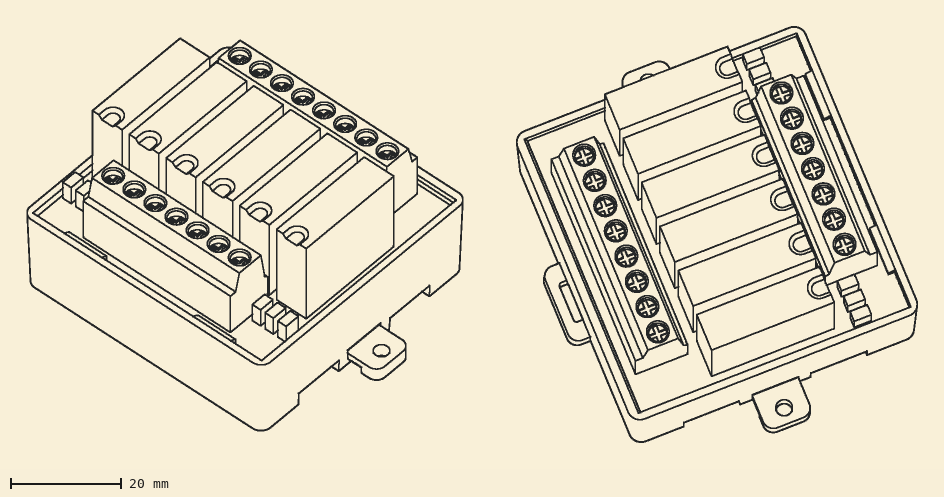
import cadquery as cq

housing_height = 18.05
housing_half_x = 29.0
housing_half_y = 28.1
wall_draft = 0.4
corner_radius = 2.3

tray_half_x = 27.6
tray_front_y = -26.6
tray_rear_y = 26.0
tray_bevel_width = 0.4
tray_bevel_height = 0.6

latch_width = 9.1
latch_reach = 1.35
latch_offset_x = 15.55
latch_drop = 0.8

base_centre_y = 0.15
base_height = 2.9
rail_half_width = 17.8
foot_half_width = 6.9
foot_draft = 0.2

ear_tip_x = 35.8
ear_root_x = 27.9
ear_half_width = 4.5
ear_corner_radius = 2.0
ear_hole_diameter = 3.0
ear_hole_x = 32.8
ear_step_x = 31.85
ear_step_height = 1.4
ear_step_depth = 1.15
ear_relief_height = 0.7
ear_relief_depth = 1.4

hook_half_length = 7.45
hook_tip_y = -15.05
hook_heel_y = -16.8
hook_height = 1.4
hook_tip_height = 0.7
rail_pad_y = -14.5
rail_pad_width = 1.15
rail_pad_height = 0.2

clip_half_width = 7.45
clip_end_y = 31.4
clip_end_draft = 0.2
clip_corner_radius = 2.0
clip_hook_tip_y = 16.05
clip_hook_heel_y = 16.8
clip_hook_height = 1.65
clip_hook_tip_height = 0.7
clip_slot_width = 7.9
clip_slot_end_y = 29.3
clip_slot_length = 2.15
clip_slot_radius = 0.6

board_top = 16.5
board_thickness = 1.6
board_bottom = board_top - board_thickness
board_clearance = 0.15

relay_count = 6
relay_pitch = 8.9
relay_width = 7.15
relay_front_y = -12.45
relay_rear_y = 11.45
relay_top = 35.0
relay_notch_diameter = 4.1
relay_notch_floor_diameter = 2.6
relay_notch_depth = 0.8
relay_notch_y = -10.9

terminal_pitch = 5.1
terminal_margin = 2.5
front_pole_count = 7
rear_pole_count = 8
terminal_top = 30.2
terminal_shelf = 26.05
terminal_outer_y = 24.05
terminal_shelf_y = 22.6
terminal_top_outer_y = 21.6
terminal_top_inner_y = 15.75
terminal_lip_top_y = 14.7
terminal_lip_top = 23.7
terminal_inner_y = 13.9
terminal_lip = 23.05

recess_end_wall = 0.7
recess_depth = 1.4
recess_top = 22.85
recess_back_top = 21.55
recess_back_bottom = 18.5
recess_bottom = 17.9

screw_rim_diameter = 4.1
screw_head_diameter = 3.45
screw_rim_chamfer = (screw_rim_diameter - screw_head_diameter) / 2
screw_depth = 1.7
screw_slot_width = 0.8
screw_slot_depth = 0.6

led_width = 2.0
led_length = 3.4
led_top = 20.7
led_y = -17.55
led_inner_x = 19.75
led_pitch = 3.1
leds_per_side = 3

X_SIDES = (-1, 1)


def block(x_min, x_max, y_min, y_max, z_min, z_max):
    """Axis-aligned block between the given limits."""
    size = (x_max - x_min, y_max - y_min, z_max - z_min)
    return cq.Workplane("XY").box(*size, centered=False).translate((x_min, y_min, z_min))


def bar_along_x(points, half_length, centre_x=0.0):
    """Bar with a (y, z) outline, extruded to both sides of centre_x."""
    bar = cq.Workplane("YZ").polyline(points).close().extrude(half_length, both=True)
    return bar.translate((centre_x, 0, 0))


def row(count, pitch):
    """Positions of a centred row."""
    return [(i - (count - 1) / 2) * pitch for i in range(count)]


def housing_shell():
    lower = cq.Sketch().rect(2 * (housing_half_x - wall_draft), 2 * (housing_half_y - wall_draft))
    upper = cq.Sketch().rect(2 * housing_half_x, 2 * housing_half_y)
    lower = lower.vertices().fillet(corner_radius)
    upper = upper.vertices().fillet(corner_radius).moved(cq.Location(cq.Vector(0, 0, housing_height)))
    return cq.Workplane("XY").placeSketch(lower, upper).loft(ruled=True)


def tray():
    return block(-tray_half_x, tray_half_x, tray_front_y, tray_rear_y, board_bottom, housing_height)


def tray_rear_bevel():
    outline = [
        (tray_rear_y, housing_height - tray_bevel_height),
        (tray_rear_y, housing_height),
        (tray_rear_y + tray_bevel_width, housing_height),
    ]
    return bar_along_x(outline, tray_half_x)


def latch(centre_x):
    tip_y = tray_front_y + latch_reach
    outline = [
        (tray_front_y, board_top),
        (tip_y, board_top),
        (tip_y, housing_height - latch_drop),
        (tray_front_y, housing_height),
    ]
    return bar_along_x(outline, latch_width / 2, centre_x)


def rail_channels():
    """Channels for the rail on either side of the central foot."""
    rear_y = base_centre_y + rail_half_width
    front_y = base_centre_y - rail_half_width
    foot_rear_y = base_centre_y + foot_half_width
    foot_front_y = base_centre_y - foot_half_width
    rear_outline = [
        (rear_y, 0),
        (rear_y, base_height),
        (foot_rear_y + foot_draft, base_height),
        (foot_rear_y, 0),
    ]
    rear = bar_along_x(rear_outline, housing_half_x)
    front = block(-housing_half_x, housing_half_x, front_y, foot_front_y, 0, base_height)
    return rear.union(front)


def fixed_hook():
    root_y = base_centre_y - rail_half_width
    outline = [
        (root_y, 0),
        (hook_heel_y, 0),
        (hook_tip_y, hook_tip_height),
        (hook_tip_y, hook_height),
        (root_y, hook_height),
    ]
    return bar_along_x(outline, hook_half_length)


def rail_pad():
    return block(
        -hook_half_length, hook_half_length,
        rail_pad_y - rail_pad_width / 2, rail_pad_y + rail_pad_width / 2,
        base_height - rail_pad_height, base_height,
    )


def ear():
    """Mounting ear on the -X side, notched from below along both edges."""
    plate = block(-ear_tip_x, -ear_root_x, -ear_half_width, ear_half_width, 0, base_height)
    plate = plate.edges("|Z and <X").fillet(ear_corner_radius)
    hole = cq.Workplane("XY").center(-ear_hole_x, 0).circle(ear_hole_diameter / 2).extrude(base_height)
    notch_inner_y = ear_half_width - ear_step_depth
    housing_face_x = housing_half_x - wall_draft
    notch = block(-ear_step_x, -housing_face_x, notch_inner_y, ear_half_width, 0, ear_step_height)
    plate = plate.cut(hole).cut(notch).cut(notch.mirror("XZ"))
    return plate.translate((0, base_centre_y, 0))


def ear_relief():
    """Wedge removed from the -X wall just above the ear."""
    relief_top = base_height + ear_relief_height
    outline = [
        (-housing_half_x, base_height),
        (ear_relief_depth - housing_half_x, base_height),
        (wall_draft - housing_half_x, relief_top),
        (-housing_half_x, relief_top),
    ]
    wedge = cq.Workplane("XZ").polyline(outline).close().extrude(ear_half_width, both=True)
    return wedge.translate((0, base_centre_y, 0))


def clip_pocket():
    root_y = base_centre_y + rail_half_width
    return block(-clip_half_width, clip_half_width, root_y, housing_half_y, 0, base_height)


def make_housing():
    housing = housing_shell().cut(tray()).cut(tray_rear_bevel())
    housing = housing.cut(rail_channels()).cut(clip_pocket())
    housing = housing.cut(ear_relief()).cut(ear_relief().mirror("YZ"))
    housing = housing.union(ear()).union(ear().mirror("YZ"))
    housing = housing.union(fixed_hook()).union(rail_pad())
    for side in X_SIDES:
        housing = housing.union(latch(side * latch_offset_x))
    return housing


def make_rail_clip():
    root_y = base_centre_y + rail_half_width
    outline = [
        (clip_hook_heel_y, 0),
        (clip_end_y, 0),
        (clip_end_y - clip_end_draft, base_height),
        (root_y, base_height),
        (root_y, clip_hook_height),
        (clip_hook_tip_y, clip_hook_height),
        (clip_hook_tip_y, clip_hook_tip_height),
    ]
    clip = bar_along_x(outline, clip_half_width)
    clip = clip.faces(">Y").edges("not |X").fillet(clip_corner_radius)
    slot = block(
        -clip_slot_width / 2, clip_slot_width / 2,
        clip_slot_end_y - clip_slot_length, clip_slot_end_y,
        0, base_height,
    )
    return clip.cut(slot.edges("|Z").fillet(clip_slot_radius))


def board_plate():
    half_x = tray_half_x - board_clearance
    front_y = tray_front_y + board_clearance
    rear_y = tray_rear_y - board_clearance
    return block(-half_x, half_x, front_y, rear_y, board_bottom, board_top)


def relay_notch():
    """Sloped-sided notch, round at the back and open at the relay front, around x = 0."""
    floor_z = relay_top - relay_notch_depth
    floor_radius = relay_notch_floor_diameter / 2
    top_radius = relay_notch_diameter / 2
    cone = cq.Workplane("XY").add(
        cq.Solid.makeCone(
            floor_radius, top_radius, relay_notch_depth, cq.Vector(0, relay_notch_y, floor_z)
        )
    )
    channel = (
        cq.Workplane("XZ", origin=(0, relay_notch_y, 0))
        .moveTo(-floor_radius, floor_z)
        .lineTo(floor_radius, floor_z)
        .lineTo(top_radius, relay_top)
        .lineTo(-top_radius, relay_top)
        .close()
        .extrude(relay_notch_y - relay_front_y)
    )
    return cone.union(channel)


def relay(centre_x):
    half_width = relay_width / 2
    case = block(-half_width, half_width, relay_front_y, relay_rear_y, board_top, relay_top)
    return case.cut(relay_notch()).translate((centre_x, 0, 0))


def screw_well(centre_x, centre_y):
    """Chamfered round well with a cross slot sunk into its floor."""
    floor_z = terminal_top - screw_depth
    head_radius = screw_head_diameter / 2
    well = cq.Workplane("XY", origin=(0, 0, floor_z)).circle(head_radius).extrude(screw_depth)
    rim = cq.Workplane("XY").add(
        cq.Solid.makeCone(
            head_radius,
            screw_rim_diameter / 2,
            screw_rim_chamfer,
            cq.Vector(0, 0, terminal_top - screw_rim_chamfer),
        )
    )
    slot = cq.Workplane("XY", origin=(0, 0, floor_z)).rect(screw_head_diameter, screw_slot_width)
    slot = slot.extrude(-screw_slot_depth)
    crossing_slot = slot.rotate((0, 0, 0), (0, 0, 1), 90)
    well = well.union(rim).union(slot).union(crossing_slot)
    return well.translate((centre_x, centre_y, 0))


def terminal_block(pole_count):
    """Terminal block on the +Y side, with its wire side facing the relays."""
    half_length = (pole_count - 1) * terminal_pitch / 2 + terminal_margin
    outline = [
        (terminal_outer_y, board_top),
        (terminal_outer_y, terminal_shelf),
        (terminal_shelf_y, terminal_shelf),
        (terminal_top_outer_y, terminal_top),
        (terminal_top_inner_y, terminal_top),
        (terminal_lip_top_y, terminal_lip_top),
        (terminal_inner_y, terminal_lip),
        (terminal_inner_y, board_top),
    ]
    recess_back_y = terminal_inner_y + recess_depth
    recess_outline = [
        (terminal_inner_y, recess_bottom),
        (recess_back_y, recess_back_bottom),
        (recess_back_y, recess_back_top),
        (terminal_inner_y, recess_top),
    ]
    body = bar_along_x(outline, half_length)
    body = body.cut(bar_along_x(recess_outline, half_length - recess_end_wall))
    screw_y = (terminal_top_outer_y + terminal_top_inner_y) / 2
    for screw_x in row(pole_count, terminal_pitch):
        body = body.cut(screw_well(screw_x, screw_y))
    return body


def led(centre_x):
    return block(
        centre_x - led_width / 2, centre_x + led_width / 2,
        led_y - led_length / 2, led_y + led_length / 2,
        board_top, led_top,
    )


def make_circuit_board():
    board = board_plate()
    for relay_x in row(relay_count, relay_pitch):
        board = board.union(relay(relay_x))
    board = board.union(terminal_block(rear_pole_count))
    board = board.union(terminal_block(front_pole_count).mirror("XZ"))
    for side in X_SIDES:
        for i in range(leds_per_side):
            board = board.union(led(side * (led_inner_x + i * led_pitch)))
    return board


housing = make_housing()
rail_clip = make_rail_clip()
circuit_board = make_circuit_board()

result = cq.Compound.makeCompound([housing.val(), rail_clip.val(), circuit_board.val()])